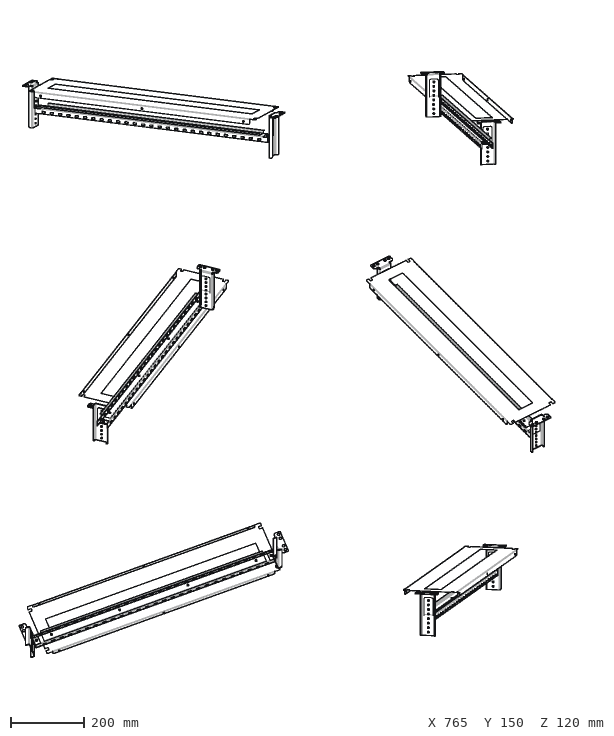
import cadquery as cq
TOP_Z = 120.0
OVERALL_LENGTH = 765.0
THROUGH = 153.0

PANEL_LENGTH = 684.0
PANEL_WIDTH = 150.0
PANEL_THICKNESS = 1.0
PANEL_BEND_RADIUS = 1.4
PANEL_CORNER_RADIUS = 4.0
WINDOW_LENGTH = 615.0
WINDOW_WIDTH = 46.0
SKIRT_LENGTH = 650.0
SKIRT_HEIGHT = 16.0
SKIRT_CORNER_RADIUS = 4.5
SKIRT_HOLE_DIAMETER = 4.5
SKIRT_HOLE_SPACING = 306.0
SKIRT_HOLE_DROP = 9.0
NOTCH_DEPTH = 9.0
NOTCH_WIDTH = 7.0
NOTCH_SPACING = 125.0

CARRIER_LENGTH = 702.0
CARRIER_WIDTH = 31.0
CARRIER_HEIGHT = 16.0
CARRIER_TOP_Z = 58.0
CARRIER_THICKNESS = 1.5
CARRIER_BEND_RADIUS = 2.0
SLOT_COUNT = 27
SLOT_PITCH = 25.0
SLOT_LENGTH = 10.0
SLOT_WIDTH = 4.5
SLOT_DROP = 11.0
BRACKET_SCREW_X = 343.5
BRACKET_SCREW_DIAMETER = 6.0

RAIL_LENGTH = SKIRT_LENGTH
RAIL_WIDTH = 35.0
RAIL_CROWN_WIDTH = 26.0
RAIL_HEIGHT = 8.0
RAIL_THICKNESS = 1.0
RAIL_BEND_RADIUS = 1.8
RAIL_HOLE_COUNT = 4
RAIL_HOLE_PITCH = 200.0
RAIL_HOLE_DIAMETER = 5.0

UPRIGHT_INNER_X = 356.0
UPRIGHT_WIDTH = 40.5
UPRIGHT_DEPTH = 12.0
UPRIGHT_THICKNESS = 2.0
UPRIGHT_BEND_RADIUS = 3.0
UPRIGHT_CORNER_RADIUS = 5.0
UPRIGHT_HOLE_COUNT = 8
UPRIGHT_HOLE_PITCH = 12.55
UPRIGHT_HOLE_DIAMETER = 4.75
UPRIGHT_TOP_HOLE_DROP = 23.0
EAR_LENGTH = 19.0
EAR_WIDTH = 63.5
EAR_INNER_RADIUS = 5.0
EAR_OUTER_RADIUS = 2.0
EAR_HOLE_DIAMETER = 7.0
EAR_HOLE_INSET = 7.0
EAR_HOLE_OFFSETS = (12.0, 24.5)

BRACKET_WIDTH = 25.0
BRACKET_THICKNESS = 2.0
BRACKET_BEND_RADIUS = 3.0
BRACKET_TOP_Z = 105.0
BRACKET_FOOT_LENGTH = 20.0
BRACKET_CORNER_RADIUS = 4.5
BRACKET_HOLE_DIAMETER = 5.0
BRACKET_HOLE_ROWS = (0, 2)


def along_x(profile, length):
    """Extrude a closed YZ sketch along X, centred on X = 0."""
    return profile.extrude(length / 2, both=True)


def channel_outline(plane, width, depth, thickness, bend_radius):
    """U-shaped sheet outline: web on the local X axis, legs down local -Y, bends rounded."""
    half = width / 2
    inner_half = half - thickness
    flat_half = half - bend_radius
    inner_radius = bend_radius - thickness
    return (
        cq.Workplane(plane)
        .moveTo(-half, -depth)
        .lineTo(-half, -bend_radius)
        .radiusArc((-flat_half, 0), bend_radius)
        .lineTo(flat_half, 0)
        .radiusArc((half, -bend_radius), bend_radius)
        .lineTo(half, -depth)
        .lineTo(inner_half, -depth)
        .lineTo(inner_half, -bend_radius)
        .radiusArc((flat_half, -thickness), -inner_radius)
        .lineTo(-flat_half, -thickness)
        .radiusArc((-inner_half, -bend_radius), -inner_radius)
        .lineTo(-inner_half, -depth)
        .close()
    )


def angle_outline(plane, leg_down, leg_side, thickness, bend_radius):
    """L-shaped sheet outline: outer corner at the origin, legs along local +X and -Y, bend rounded."""
    inner_radius = bend_radius - thickness
    return (
        cq.Workplane(plane)
        .moveTo(0, -leg_down)
        .lineTo(0, -bend_radius)
        .radiusArc((bend_radius, 0), bend_radius)
        .lineTo(leg_side, 0)
        .lineTo(leg_side, -thickness)
        .lineTo(bend_radius, -thickness)
        .radiusArc((thickness, -bend_radius), -inner_radius)
        .lineTo(thickness, -leg_down)
        .close()
    )


def rail_holes():
    """Cutters for the holes shared by the rail and the carrier under it."""
    return (
        cq.Workplane("XY")
        .rarray(RAIL_HOLE_PITCH, 8, RAIL_HOLE_COUNT, 1)
        .circle(RAIL_HOLE_DIAMETER / 2)
        .extrude(THROUGH)
    )


def bracket_screw_holes():
    """Cutters for the holes shared by the carrier ends and the bracket feet."""
    return (
        cq.Workplane("XY")
        .rarray(2 * BRACKET_SCREW_X, 8, 2, 1)
        .circle(BRACKET_SCREW_DIAMETER / 2)
        .extrude(CARRIER_TOP_Z)
    )


def hole_column(rows, diameter):
    """Cutters along X at the given rows of the uprights' hole pattern."""
    heights = [TOP_Z - UPRIGHT_TOP_HOLE_DROP - row * UPRIGHT_HOLE_PITCH for row in rows]
    return (
        cq.Workplane("YZ", origin=(-UPRIGHT_INNER_X, 0, 0))
        .pushPoints([(0, z) for z in heights])
        .circle(diameter / 2)
        .extrude(UPRIGHT_DEPTH, both=True)
    )


def make_panel():
    """Flat panel with a window, open notches at the corners and a bent skirt along each long side."""
    plate = (
        cq.Workplane("XY", origin=(0, 0, TOP_Z))
        .rect(PANEL_LENGTH, PANEL_WIDTH)
        .extrude(-PANEL_THICKNESS)
        .edges("|Z")
        .fillet(PANEL_CORNER_RADIUS)
    )
    bent_stretch = cq.Workplane("XY").box(SKIRT_LENGTH, THROUGH, 2 * THROUGH)
    skirted = along_x(
        channel_outline("YZ", PANEL_WIDTH, SKIRT_HEIGHT, PANEL_THICKNESS, PANEL_BEND_RADIUS), SKIRT_LENGTH
    )
    skirted = skirted.edges("|Y and <Z").edges("<X or >X").fillet(SKIRT_CORNER_RADIUS)
    panel = plate.cut(bent_stretch).union(skirted.translate((0, 0, TOP_Z)))

    window = cq.Workplane("XY").box(WINDOW_LENGTH, WINDOW_WIDTH, 2 * THROUGH)
    notches = (
        cq.Workplane("XY")
        .rarray(PANEL_LENGTH, NOTCH_SPACING, 2, 2)
        .rect(2 * NOTCH_DEPTH, NOTCH_WIDTH)
        .extrude(THROUGH)
    )
    skirt_holes = (
        cq.Workplane("XZ", origin=(0, 0, TOP_Z - SKIRT_HOLE_DROP))
        .rarray(SKIRT_HOLE_SPACING, 8, 3, 1)
        .circle(SKIRT_HOLE_DIAMETER / 2)
        .extrude(THROUGH, both=True)
    )
    return panel.cut(window).cut(notches).cut(skirt_holes)


def make_carrier():
    """Downward-open channel between the uprights, with a row of slots in both legs."""
    carrier = along_x(
        channel_outline("YZ", CARRIER_WIDTH, CARRIER_HEIGHT, CARRIER_THICKNESS, CARRIER_BEND_RADIUS),
        CARRIER_LENGTH,
    ).translate((0, 0, CARRIER_TOP_Z))
    slots = (
        cq.Workplane("XZ", origin=(0, 0, CARRIER_TOP_Z - SLOT_DROP))
        .rarray(SLOT_PITCH, 8, SLOT_COUNT, 1)
        .slot2D(SLOT_LENGTH, SLOT_WIDTH)
        .extrude(THROUGH, both=True)
    )
    return carrier.cut(slots).cut(rail_holes()).cut(bracket_screw_holes())


def make_rail():
    """Top-hat rail resting on the carrier, its two brims turned outward at the top."""
    wall_inner_half = RAIL_CROWN_WIDTH / 2 - RAIL_THICKNESS
    rail = along_x(
        channel_outline("YZ", RAIL_CROWN_WIDTH, RAIL_HEIGHT / 2, RAIL_THICKNESS, RAIL_BEND_RADIUS),
        RAIL_LENGTH,
    ).rotate((0, 0, 0), (1, 0, 0), 180)
    brim = along_x(
        angle_outline(
            "YZ", RAIL_HEIGHT / 2, RAIL_WIDTH / 2 - wall_inner_half, RAIL_THICKNESS, RAIL_BEND_RADIUS
        ),
        RAIL_LENGTH,
    ).translate((0, wall_inner_half, RAIL_HEIGHT))
    rail = rail.union(brim).union(brim.mirror("XZ"))
    return rail.translate((0, 0, CARRIER_TOP_Z)).cut(rail_holes())


def make_left_upright():
    """Channel standing on Z = 0, open outward, with a mounting ear bent outward from its web."""
    leg_top = TOP_Z - UPRIGHT_BEND_RADIUS
    post = (
        channel_outline("XY", UPRIGHT_WIDTH, UPRIGHT_DEPTH, UPRIGHT_THICKNESS, UPRIGHT_BEND_RADIUS)
        .extrude(leg_top)
        .rotate((0, 0, 0), (0, 0, 1), -90)
    )
    post = post.edges("|Y and <X and <Z").fillet(UPRIGHT_CORNER_RADIUS)

    ear_reach = OVERALL_LENGTH / 2 - UPRIGHT_INNER_X
    neck_reach = ear_reach - EAR_LENGTH / 2
    neck_drop = 2 * UPRIGHT_BEND_RADIUS
    neck_width = UPRIGHT_WIDTH - 2 * UPRIGHT_BEND_RADIUS
    neck = (
        angle_outline("XZ", neck_drop, neck_reach, UPRIGHT_THICKNESS, UPRIGHT_BEND_RADIUS)
        .extrude(neck_width / 2, both=True)
        .mirror("YZ")
        .translate((0, 0, TOP_Z))
    )
    ear = (
        cq.Workplane("XY", origin=(EAR_LENGTH / 2 - ear_reach, 0, TOP_Z))
        .rect(EAR_LENGTH, EAR_WIDTH)
        .extrude(-UPRIGHT_THICKNESS)
    )
    ear = ear.edges("|Z and >X").fillet(EAR_INNER_RADIUS)
    ear = ear.edges("|Z and <X").fillet(EAR_OUTER_RADIUS)
    ear_holes = (
        cq.Workplane("XY")
        .pushPoints([(EAR_HOLE_INSET - ear_reach, side * y) for y in EAR_HOLE_OFFSETS for side in (-1, 1)])
        .circle(EAR_HOLE_DIAMETER / 2)
        .extrude(THROUGH)
    )
    web_holes = hole_column(range(UPRIGHT_HOLE_COUNT), UPRIGHT_HOLE_DIAMETER)
    upright = post.union(neck).union(ear).cut(ear_holes)
    return upright.translate((-UPRIGHT_INNER_X, 0, 0)).cut(web_holes)


def make_left_bracket():
    """Angle whose plate lies on the upright's web and whose foot supports the carrier's web."""
    foot_top = CARRIER_TOP_Z - CARRIER_THICKNESS
    foot_bottom = foot_top - BRACKET_THICKNESS
    plate_height = BRACKET_TOP_Z - foot_bottom
    bracket = (
        angle_outline("XZ", plate_height, BRACKET_FOOT_LENGTH, BRACKET_THICKNESS, BRACKET_BEND_RADIUS)
        .extrude(BRACKET_WIDTH / 2, both=True)
        .mirror("XY")
        .translate((-UPRIGHT_INNER_X, 0, foot_bottom))
    )
    bracket = bracket.edges("|X and >Z").fillet(BRACKET_CORNER_RADIUS)
    return bracket.cut(hole_column(BRACKET_HOLE_ROWS, BRACKET_HOLE_DIAMETER)).cut(bracket_screw_holes())


panel = make_panel()
carrier = make_carrier()
rail = make_rail()
uprights = []
brackets = []
for turn in (0, 180):
    uprights.append(make_left_upright().rotate((0, 0, 0), (0, 0, 1), turn).val())
    brackets.append(make_left_bracket().rotate((0, 0, 0), (0, 0, 1), turn).val())

result = cq.Compound.makeCompound([panel.val(), carrier.val(), rail.val(), *uprights, *brackets])